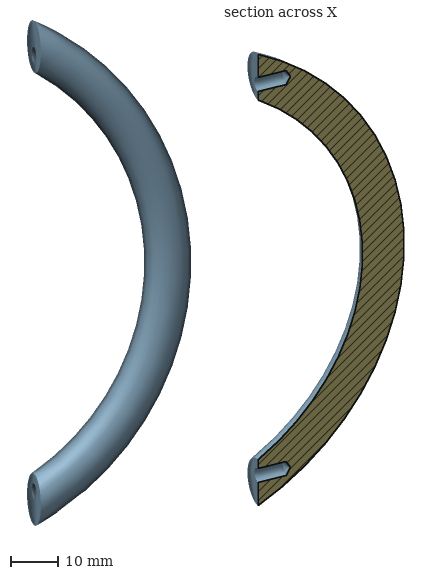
import cadquery as cq
import math

height = 111.0
depth = 34.7
bar_diameter = 10.0

hole_spacing = 96.0
hole_diameter = 3.3
hole_depth = 6.7
drill_point_angle = 118.0

outer_radius = ((height / 2) ** 2 + depth**2) / (2 * depth)
bend_radius = outer_radius - bar_diameter / 2
bend_center_y = depth - outer_radius


def bent_bar():
    """Full ring of the round bar around the bend axis, kept only behind the mounting plane."""
    ring = cq.Workplane("XY").add(
        cq.Solid.makeTorus(
            bend_radius,
            bar_diameter / 2,
            cq.Vector(0, bend_center_y, 0),
            cq.Vector(1, 0, 0),
        )
    )
    keep = cq.Workplane("XY").box(
        2 * bar_diameter, 2 * depth, 2 * height, centered=(True, False, True)
    )
    return ring.intersect(keep)


def mounting_hole(z):
    """Blind hole entering an end face along +Y and ending in a conical drill point."""
    radius = hole_diameter / 2
    point_height = radius / math.tan(math.radians(drill_point_angle / 2))
    half_profile = (
        cq.Workplane("XY")
        .lineTo(radius, 0)
        .lineTo(radius, hole_depth)
        .lineTo(0, hole_depth + point_height)
        .close()
    )
    return half_profile.revolve(360, (0, 0, 0), (0, 1, 0)).translate((0, 0, z))


result = bent_bar()
for side in (-1, 1):
    result = result.cut(mounting_hole(side * hole_spacing / 2))